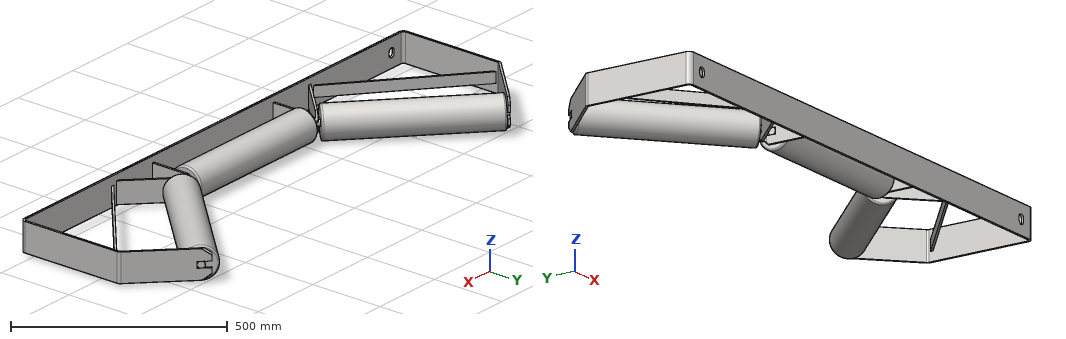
import cadquery as cq
import math


frame_height = 80.0
bracket_height = 60.0
bar_thickness = 6.0
bend_inner_radius = 7.0
bend_outer_radius = bend_inner_radius + bar_thickness

roller_diameter = 88.0
roller_length = 430.0
roller_end_fillet = 4.0
end_gap = 3.5
shaft_diameter = 20.0
shaft_flat_height = 17.0
bearing_span = roller_length + 2 * end_gap
shaft_length = bearing_span + 2 * bar_thickness

wing_angle = 45.0
middle_axis_y = 98.0
inner_axis_z = 32.0
outer_axis_z = 39.0
tilt = math.asin((outer_axis_z - inner_axis_z) / bearing_span)
outer_center_x = 406.0
outer_center_y = 269.0
wing_cos = math.cos(math.radians(wing_angle))
wing_sin = math.sin(math.radians(wing_angle))

frame_length = 1400.0
wing_tip_y = 445.0
wing_face_offset = bearing_span / 2 + bar_thickness
shoulder_y = (
    outer_center_y
    + wing_face_offset * wing_sin
    - (frame_length / 2 - outer_center_x - wing_face_offset * wing_cos) * wing_cos / wing_sin
)
tip_chamfer_along = 24.0
tip_chamfer_height = 17.0
mounting_slot_inset = 48.0
mounting_slot_width = 18.0
mounting_slot_height = 25.0

bracket_face_x = bearing_span / 2
bracket_corner_y = 144.0
bracket_top_y = bracket_corner_y + bend_outer_radius * (1 - 1 / math.tan(math.radians(wing_angle / 2)))
bracket_chamfer = 17.0

brace_thickness = 5.0
brace_height = 30.0
brace_bottom_z = (frame_height - brace_height) / 2
brace_top_y = 283.0
brace_foot_x = 365.0


def offset_left(points, distance):
    """Shift an open path to its left by a distance, mitring the corners."""
    directions = []
    for (x0, y0), (x1, y1) in zip(points, points[1:]):
        length = math.hypot(x1 - x0, y1 - y0)
        directions.append(((x1 - x0) / length, (y1 - y0) / length))
    shifted = []
    for i, (x, y) in enumerate(points):
        before_x, before_y = directions[max(i - 1, 0)]
        after_x, after_y = directions[min(i, len(directions) - 1)]
        mitre = distance / (1 + before_x * after_x + before_y * after_y)
        shifted.append((x - mitre * (before_y + after_y), y + mitre * (before_x + after_x)))
    return shifted


def bent_bar(outer_points, height):
    """Flat bar whose outer face follows the points, with the material on their left."""
    inner_points = offset_left(outer_points, bar_thickness)
    bar = cq.Workplane("XY").polyline(outer_points + inner_points[::-1]).close().extrude(height)
    for points, radius in ((outer_points, bend_outer_radius), (inner_points, bend_inner_radius)):
        for x, y in points[1:-1]:
            corner = cq.selectors.NearestToPointSelector((x, y, height / 2))
            bar = bar.edges(corner).fillet(radius)
    return bar


def outer_roller_plane(side):
    """Plane of an outer roller: local X runs outward along its axis, local Y toward the load."""
    axis = cq.Vector(
        side * wing_cos * math.cos(tilt),
        wing_sin * math.cos(tilt),
        math.sin(tilt),
    )
    normal = cq.Vector(
        -side * wing_cos * math.sin(tilt),
        -wing_sin * math.sin(tilt),
        math.cos(tilt),
    )
    origin = (side * outer_center_x, outer_center_y, (inner_axis_z + outer_axis_z) / 2)
    return cq.Plane(origin, axis, normal * side)


middle_plane = cq.Plane((0, middle_axis_y, inner_axis_z))
outer_planes = [outer_roller_plane(side) for side in (-1, 1)]
roller_planes = [middle_plane] + outer_planes


def make_roller(plane):
    """Roller with a shaft that has two flats, lying along the plane's local X."""
    barrel = (
        cq.Workplane("YZ", origin=(-roller_length / 2, 0, 0))
        .circle(roller_diameter / 2)
        .extrude(roller_length)
        .edges()
        .fillet(roller_end_fillet)
    )
    flats = cq.Workplane("XY").box(shaft_length, shaft_diameter, shaft_flat_height)
    shaft_end = cq.Workplane("YZ", origin=(-shaft_length / 2, 0, 0)).circle(shaft_diameter / 2)
    shaft = shaft_end.extrude(shaft_length)
    roller = barrel.union(shaft.intersect(flats))
    return roller.val().moved(plane.location)


def shaft_slots(plane):
    """Cutter for the two open slots that hold the shaft ends of one roller."""
    slot_depth = roller_diameter
    slot_length = 2 * bend_outer_radius
    slots = (
        cq.Workplane("XY")
        .pushPoints([(-bearing_span / 2, 0), (bearing_span / 2, 0)])
        .box(slot_length, slot_depth, shaft_flat_height)
        .translate((0, (slot_depth - shaft_diameter) / 2, 0))
    )
    return slots.val().moved(plane.location)


def corner_cutter(tip_y, depth_y, depth_z, height):
    """Wedges along X that cut the upper and lower corners off a bar that ends at tip_y."""
    clearance = bar_thickness
    beyond_y = tip_y + clearance
    beyond_z = depth_z * (1 + clearance / depth_y)
    lower = [(tip_y - depth_y, 0), (beyond_y, beyond_z), (beyond_y, 0)]
    upper = [(y, height - z) for y, z in lower]
    wedges = cq.Workplane("YZ").polyline(lower).close().polyline(upper).close()
    return wedges.extrude(frame_length / 2, both=True)


def make_frame():
    """Base bar with uprights and inclined wings, bent from one length of flat bar."""
    half = frame_length / 2
    tip_x = half - (wing_tip_y - shoulder_y) * wing_sin / wing_cos
    right_side = [(half, 0), (half, shoulder_y), (tip_x, wing_tip_y)]
    left_side = [(-x, y) for x, y in reversed(right_side)]
    frame = bent_bar(left_side + right_side, frame_height)

    chamfer_y = tip_chamfer_along * wing_cos
    frame = frame.cut(corner_cutter(wing_tip_y, chamfer_y, tip_chamfer_height, frame_height))

    slot_x = half - mounting_slot_inset
    mounting_slots = (
        cq.Workplane("XZ", origin=(0, 0, frame_height / 2))
        .pushPoints([(-slot_x, 0), (slot_x, 0)])
        .slot2D(mounting_slot_height, mounting_slot_width, 90)
        .extrude(-bar_thickness)
    )
    frame = frame.cut(mounting_slots)
    for plane in outer_planes:
        frame = frame.cut(cq.Workplane(shaft_slots(plane)))
    return frame.val()


def make_bracket(side):
    """Bent bracket on the base bar that carries the middle roller and one outer roller."""
    leg_reach = bracket_corner_y * wing_sin / wing_cos
    outer_points = [
        (-bracket_face_x, 0),
        (-bracket_face_x, bracket_corner_y),
        (-bracket_face_x - leg_reach, 0),
    ]
    bracket = bent_bar(outer_points, bracket_height)
    bracket = bracket.cut(corner_cutter(bracket_top_y, bracket_chamfer, bracket_chamfer, bracket_height))
    bracket = bracket.translate((0, 0, inner_axis_z - bracket_height / 2))
    if side > 0:
        bracket = bracket.mirror("YZ")

    base_bar = cq.Workplane("XY").box(frame_length, 2 * bar_thickness, 2 * frame_height)
    bracket = bracket.cut(base_bar)
    for plane in roller_planes:
        bracket = bracket.cut(cq.Workplane(shaft_slots(plane)))
    return bracket.val()


def make_brace(side):
    """Diagonal flat between the upright and the base bar."""
    wall_x = frame_length / 2 - bar_thickness
    slope = math.atan2(brace_top_y - bar_thickness, wall_x - brace_foot_x)
    foot_width = brace_thickness / math.sin(slope)
    top_width = brace_thickness / math.cos(slope)
    outline = [
        (side * wall_x, brace_top_y),
        (side * wall_x, brace_top_y - top_width),
        (side * (brace_foot_x + foot_width), bar_thickness),
        (side * brace_foot_x, bar_thickness),
    ]
    brace = cq.Workplane("XY").workplane(offset=brace_bottom_z).polyline(outline).close()
    return brace.extrude(brace_height).val()


sides = (-1, 1)
frame = make_frame()
brackets = [make_bracket(side) for side in sides]
braces = [make_brace(side) for side in sides]
rollers = [make_roller(plane) for plane in roller_planes]
result = cq.Compound.makeCompound([frame, *brackets, *braces, *rollers])